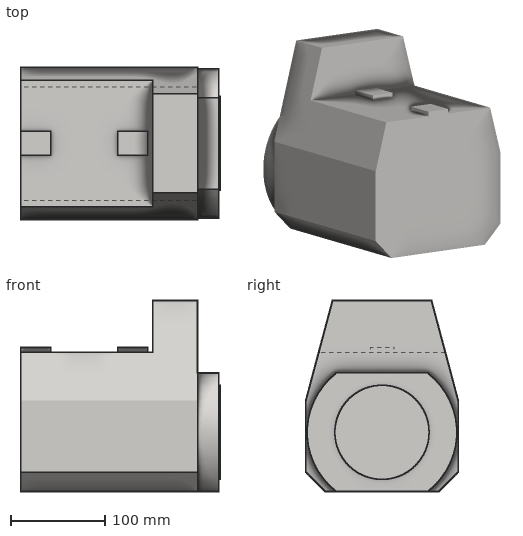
import cadquery as cq
import math

total_length = 212.0
body_width = 162.0
total_height = 203.0

pilot_thickness = 1.5
flange_thickness = 22.7
housing_length = total_length - flange_thickness - pilot_thickness
bottom_width = 120.8
bottom_chamfer_height = 20.8
shoulder_height = 96.7
top_width = 105.2
deck_height = 148.0
tower_length = 47.7

pad_length = 32.0
pad_width = 25.5
pad_height = 5.0
pad_starts = (0.0, 103.0)

flange_diameter = 159.0
flange_height = 126.0
pilot_diameter = 100.0
axis_height = flange_height / 2


def make_housing():
    """Tapered prism along X, cut down to the deck behind the front tower."""
    half_profile = [
        (bottom_width / 2, 0),
        (body_width / 2, bottom_chamfer_height),
        (body_width / 2, shoulder_height),
        (top_width / 2, total_height),
    ]
    mirrored = [(-y, z) for y, z in reversed(half_profile)]
    prism = cq.Workplane("YZ").polyline(half_profile + mirrored).close().extrude(housing_length)
    deck_cut = cq.Workplane("XY").box(
        housing_length - tower_length,
        body_width,
        total_height - deck_height,
        centered=(False, True, False),
    )
    return prism.cut(deck_cut.translate((0, 0, deck_height)))


def make_pad(start):
    """Rectangular pad standing on the deck."""
    pad = cq.Workplane("XY").box(pad_length, pad_width, pad_height, centered=(False, True, False))
    return pad.translate((start, 0, deck_height))


def make_flange():
    """Round flange with flats at top and bottom."""
    half_flat = math.sqrt(flange_diameter**2 - flange_height**2) / 2
    half_height = flange_height / 2
    radius = flange_diameter / 2
    return (
        cq.Workplane("YZ", origin=(housing_length, 0, axis_height))
        .moveTo(-half_flat, -half_height)
        .lineTo(half_flat, -half_height)
        .threePointArc((radius, 0), (half_flat, half_height))
        .lineTo(-half_flat, half_height)
        .threePointArc((-radius, 0), (-half_flat, -half_height))
        .close()
        .extrude(flange_thickness)
    )


def make_pilot():
    """Thin centring disc on the flange face."""
    flange_face = housing_length + flange_thickness
    return (
        cq.Workplane("YZ", origin=(flange_face, 0, axis_height))
        .circle(pilot_diameter / 2)
        .extrude(pilot_thickness)
    )


result = make_housing().union(make_flange()).union(make_pilot())
for pad_start in pad_starts:
    result = result.union(make_pad(pad_start))